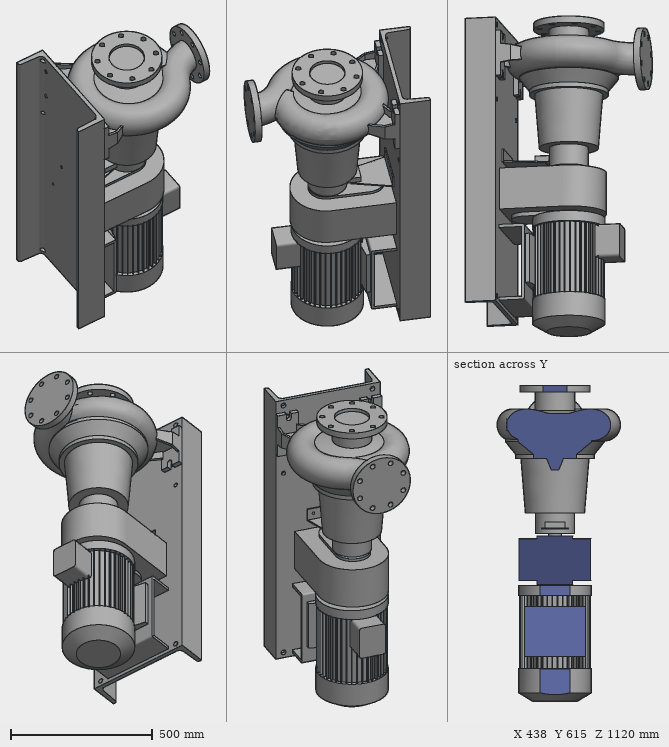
import cadquery as cq
import math

TOP_Z = 1120.0
CHANNEL_BACK_Y = -225.0

CHANNEL_WIDTH = 400.0
CHANNEL_DEPTH = 110.0
CHANNEL_LENGTH = 1030.0
CHANNEL_BOTTOM_Z = 80.0
WEB_THICKNESS = 15.0
FLANGE_ROOT_THICKNESS = 20.0
FLANGE_TIP_THICKNESS = 16.0
FLANGE_ROOT_RADIUS = 18.0
FLANGE_TIP_RADIUS = 9.0
ANCHOR_HOLE_X = 170.0
ANCHOR_HOLE_DIAMETER = 18.0
ANCHOR_HOLE_END_DISTANCE = 21.0
SPARE_HOLE_Z = 818.0
SPARE_HOLE_DIAMETER = 15.0
FOOT_HOLE_DIAMETER = 15.0
SUPPORT_HOLE_X = 56.0
SUPPORT_HOLE_DIAMETER = 10.0
GUARD_HOLE_X = 111.0
GUARD_HOLE_Z = 497.0
GUARD_HOLE_DIAMETER = 8.0

FLANGE_HOLE_COUNT = 8
FLANGE_HOLE_DIAMETER = 18.0
SUCTION_FLANGE_DIAMETER = 250.0
SUCTION_FLANGE_THICKNESS = 24.0
SUCTION_BOLT_RADIUS = 105.0
SUCTION_BORE_DIAMETER = 125.0
SUCTION_BORE_DEPTH = 12.0
DISCHARGE_FLANGE_DIAMETER = 220.0
DISCHARGE_FLANGE_THICKNESS = 25.0
DISCHARGE_BOLT_RADIUS = 90.0
DISCHARGE_FACE_Y = 280.0

VOLUTE_Z = 980.0
VOLUTE_CENTRE_X = 13.0
VOLUTE_BEND_DIAMETER = 324.0
VOLUTE_BEND_RADIUS = VOLUTE_BEND_DIAMETER / 2
TUBE_RADIUS = 57.0
TONGUE_TUBE_RADIUS = 49.0
TONGUE_BEND_RADIUS = 148.0
TONGUE_ANGLE = 75.0
TONGUE_SECTIONS = 5

NECK_RADIUS = 70.0
NECK_BASE_Z = 1030.0
COVER_RADIUS = 146.0
COVER_RIM_Z = 1017.0
BACK_PLATE_RADIUS = 176.0
BACK_PLATE_TOP_Z = 932.0
BACK_PLATE_BOTTOM_Z = 921.0
COLLAR_RADIUS = 140.0
COLLAR_TOP_Z = 876.0
COLLAR_BOTTOM_Z = 860.0
HOUSING_TOP_RADIUS = 121.0
HOUSING_BOTTOM_RADIUS = 105.0
HOUSING_BOTTOM_Z = 668.0
HUB_RADIUS = 70.0
HUB_BOTTOM_Z = 595.0
SHAFT_RADIUS = 24.0

PAD_INNER_X = 120.0
PAD_THICKNESS = 18.0
PAD_HEIGHT = 162.0
PAD_SLOT_X = 157.0
PAD_SLOT_WIDTH = 18.0
PAD_SLOT_OFFSET = 64.0
GUSSET_WALL = 8.0
GUSSET_BASE_HALF_HEIGHT = 36.0
GUSSET_TAPER = 0.16
GUSSET_SHOULDER_Y = -170.0
GUSSET_OUTER_END = (-148.0, -73.0)
GUSSET_INNER_END = (-45.0, -171.0)

BLOCK_HALF_WIDTH = 36.0
BLOCK_FRONT_Y = -115.0
BLOCK_BACK_Y = -65.0
BLOCK_TOP_Z = 636.0
SUPPORT_WIDTH = 159.0
SUPPORT_FRONT_Y = -78.0
SUPPORT_TOP_Z = 615.0
SUPPORT_THICKNESS = 5.0
SUPPORT_UPSTAND_TOP_Z = 657.0

GUARD_RADIUS = 128.0
GUARD_CENTRE_Y = 6.0
GUARD_BOTTOM_Z = 428.0
GUARD_TOP_Z = 577.0
GUARD_BOSS_RADIUS = 64.0
GUARD_BOSS_SPAN = 148.0
GUARD_TOP_BOSS_Z = 587.0
GUARD_BOTTOM_BOSS_Z = 413.0

MOTOR_TOP_Z = 411.0
MOTOR_RADIUS = 129.0
FINS_TOP_Z = 375.0
FINS_BOTTOM_Z = 116.0
FIN_RADIUS = 127.0
FIN_COUNT = 40
FIN_HEIGHT = 11.0
FIN_THICKNESS = 2.0
COWL_CONE_Z = 30.0
COWL_END_RADIUS = 78.0
TERMINAL_BOX_WIDTH = 101.0
TERMINAL_BOX_FACE_Y = 193.0
TERMINAL_BOX_BOTTOM_Z = 254.0
TERMINAL_BOX_TOP_Z = FINS_TOP_Z
TERMINAL_BOX_FILLET = 11.0
MOTOR_FOOT_Y = -133.0
MOTOR_FOOT_EDGE_Y = -119.0
MOTOR_FOOT_TOP_Y = -109.0
MOTOR_FOOT_HALF_WIDTH = 118.0
MOTOR_FOOT_TOP_HALF_WIDTH = 67.0
MOTOR_FOOT_BOTTOM_Z = 159.0
MOTOR_FOOT_TOP_Z = 337.0

BRACKET_WIDTH = 273.0
BRACKET_BOTTOM_Z = 94.0
BRACKET_TOP_Z = 370.0
BRACKET_THICKNESS = 11.0
BRACKET_CORNER_RADIUS = 7.0


def box(x_range, y_range, z_range):
    """A box between two limits along each axis."""
    size = [limits[1] - limits[0] for limits in (x_range, y_range, z_range)]
    corner = (x_range[0], y_range[0], z_range[0])
    return cq.Workplane("XY").box(*size, centered=False).translate(corner)


def cylinder(radius, z_bottom, z_top):
    """An upright cylinder on the pump axis."""
    return cq.Workplane("XY").workplane(offset=z_bottom).circle(radius).extrude(z_top - z_bottom)


def channel_profile():
    """Closed section of the channel, open toward -Y, before its rounding."""
    half_width = CHANNEL_WIDTH / 2
    web_y = CHANNEL_BACK_Y - WEB_THICKNESS
    tip_y = CHANNEL_BACK_Y - CHANNEL_DEPTH
    root_x = half_width - FLANGE_ROOT_THICKNESS
    tip_x = half_width - FLANGE_TIP_THICKNESS
    return (
        cq.Workplane("XY")
        .workplane(offset=CHANNEL_BOTTOM_Z)
        .moveTo(-half_width, CHANNEL_BACK_Y)
        .lineTo(half_width, CHANNEL_BACK_Y)
        .lineTo(half_width, tip_y)
        .lineTo(tip_x, tip_y)
        .lineTo(root_x, web_y)
        .lineTo(-root_x, web_y)
        .lineTo(-tip_x, tip_y)
        .lineTo(-half_width, tip_y)
        .close()
    )


def rounded_channel():
    channel = channel_profile().extrude(CHANNEL_LENGTH)
    root_x = CHANNEL_WIDTH / 2 - FLANGE_ROOT_THICKNESS
    tip_x = CHANNEL_WIDTH / 2 - FLANGE_TIP_THICKNESS
    roundings = (
        (root_x, CHANNEL_BACK_Y - WEB_THICKNESS, FLANGE_ROOT_RADIUS),
        (tip_x, CHANNEL_BACK_Y - CHANNEL_DEPTH, FLANGE_TIP_RADIUS),
    )
    middle_z = CHANNEL_BOTTOM_Z + CHANNEL_LENGTH / 2
    for x, y, radius in roundings:
        for side in (-1, 1):
            corner = cq.selectors.NearestToPointSelector((side * x, y, middle_z))
            channel = channel.edges("|Z").edges(corner).fillet(radius)
    return channel


def make_channel():
    anchor_bottom_z = CHANNEL_BOTTOM_Z + ANCHOR_HOLE_END_DISTANCE
    anchor_top_z = CHANNEL_BOTTOM_Z + CHANNEL_LENGTH - ANCHOR_HOLE_END_DISTANCE
    support_hole_z = (SUPPORT_TOP_Z + SUPPORT_UPSTAND_TOP_Z) / 2
    holes = (
        (ANCHOR_HOLE_X, anchor_bottom_z, ANCHOR_HOLE_DIAMETER),
        (ANCHOR_HOLE_X, anchor_top_z, ANCHOR_HOLE_DIAMETER),
        (ANCHOR_HOLE_X, SPARE_HOLE_Z, SPARE_HOLE_DIAMETER),
        (PAD_SLOT_X, VOLUTE_Z - PAD_SLOT_OFFSET, FOOT_HOLE_DIAMETER),
        (PAD_SLOT_X, VOLUTE_Z + PAD_SLOT_OFFSET, FOOT_HOLE_DIAMETER),
        (SUPPORT_HOLE_X, support_hole_z, SUPPORT_HOLE_DIAMETER),
        (GUARD_HOLE_X, GUARD_HOLE_Z, GUARD_HOLE_DIAMETER),
    )
    channel = rounded_channel()
    for x, z, diameter in holes:
        drills = (
            cq.Workplane("XZ", origin=(0, CHANNEL_BACK_Y, 0))
            .pushPoints([(-x, z), (x, z)])
            .circle(diameter / 2)
            .extrude(CHANNEL_DEPTH)
        )
        channel = channel.cut(drills)
    return channel


def drilled_flange(plane, diameter, thickness, bolt_radius):
    """A round flange with its bolt holes, extruded along the normal of the plane."""
    half_step = 180 / FLANGE_HOLE_COUNT
    holes = (
        plane.polarArray(bolt_radius, half_step, 360, FLANGE_HOLE_COUNT)
        .circle(FLANGE_HOLE_DIAMETER / 2)
        .extrude(thickness)
    )
    return plane.circle(diameter / 2).extrude(thickness).cut(holes)


def suction_flange():
    plane = cq.Workplane("XY").workplane(offset=TOP_Z - SUCTION_FLANGE_THICKNESS)
    return drilled_flange(plane, SUCTION_FLANGE_DIAMETER, SUCTION_FLANGE_THICKNESS, SUCTION_BOLT_RADIUS)


def discharge_flange():
    plane = cq.Workplane("XZ", origin=(0, DISCHARGE_FACE_Y, VOLUTE_Z))
    return drilled_flange(plane, DISCHARGE_FLANGE_DIAMETER, DISCHARGE_FLANGE_THICKNESS, DISCHARGE_BOLT_RADIUS)


def casing():
    """Turned casing: suction neck, cover, back plate, bearing housing, hub and shaft."""
    outline = [
        (0, TOP_Z - SUCTION_FLANGE_THICKNESS),
        (NECK_RADIUS, TOP_Z - SUCTION_FLANGE_THICKNESS),
        (NECK_RADIUS, NECK_BASE_Z),
        (COVER_RADIUS, COVER_RIM_Z),
        (BACK_PLATE_RADIUS, BACK_PLATE_TOP_Z),
        (BACK_PLATE_RADIUS, BACK_PLATE_BOTTOM_Z),
        (COLLAR_RADIUS, COLLAR_TOP_Z),
        (COLLAR_RADIUS, COLLAR_BOTTOM_Z),
        (HOUSING_TOP_RADIUS, COLLAR_BOTTOM_Z),
        (HOUSING_BOTTOM_RADIUS, HOUSING_BOTTOM_Z),
        (HUB_RADIUS, HOUSING_BOTTOM_Z),
        (HUB_RADIUS, HUB_BOTTOM_Z),
        (SHAFT_RADIUS, HUB_BOTTOM_Z),
        (SHAFT_RADIUS, GUARD_TOP_BOSS_Z),
        (0, GUARD_TOP_BOSS_Z),
    ]
    return cq.Workplane("XZ").polyline(outline).close().revolve(360, (0, 0), (0, 1))


def volute_point(angle):
    """Point of the tube centreline at an angle in degrees around the volute centre."""
    turn = math.radians(angle)
    return (VOLUTE_CENTRE_X + VOLUTE_BEND_RADIUS * math.cos(turn), VOLUTE_BEND_RADIUS * math.sin(turn))


def scroll():
    """Constant tube around the -Y half, then an S-bend that ends square on the discharge flange."""
    start_x = VOLUTE_CENTRE_X + VOLUTE_BEND_RADIUS
    bend_angle = 2 * math.degrees(math.atan(start_x / DISCHARGE_FACE_Y))
    exit_bend_radius = DISCHARGE_FACE_Y / math.sin(math.radians(bend_angle)) - VOLUTE_BEND_RADIUS
    half_turn = math.radians(bend_angle / 2)
    exit_middle = (
        exit_bend_radius * (1 - math.cos(half_turn)),
        DISCHARGE_FACE_Y - exit_bend_radius * math.sin(half_turn),
    )
    path = (
        cq.Workplane("XY", origin=(0, 0, VOLUTE_Z))
        .moveTo(*volute_point(180))
        .threePointArc(volute_point(270), volute_point(0))
        .threePointArc(volute_point(bend_angle / 2), volute_point(bend_angle))
        .threePointArc(exit_middle, (0, DISCHARGE_FACE_Y))
    )
    start_on_left = VOLUTE_CENTRE_X - VOLUTE_BEND_RADIUS
    return (
        cq.Workplane("XZ", origin=(start_on_left, 0, VOLUTE_Z))
        .circle(TUBE_RADIUS)
        .sweep(path)
    )


def tongue():
    """Narrowing end of the volute, from the -X side round to below the discharge."""
    start_radius = VOLUTE_BEND_RADIUS - VOLUTE_CENTRE_X
    sections = []
    for step in range(TONGUE_SECTIONS):
        share = step / (TONGUE_SECTIONS - 1)
        turn = math.radians(180 + share * (TONGUE_ANGLE - 180))
        bend_radius = start_radius + share * (TONGUE_BEND_RADIUS - start_radius)
        tube_radius = TUBE_RADIUS + share * (TONGUE_TUBE_RADIUS - TUBE_RADIUS)
        centre = cq.Vector(bend_radius * math.cos(turn), bend_radius * math.sin(turn), VOLUTE_Z)
        direction = cq.Vector(math.sin(turn), -math.cos(turn), 0)
        sections.append(cq.Wire.makeCircle(tube_radius, centre, direction))
    return cq.Workplane(cq.Solid.makeLoft(sections))


def gusset():
    """Walled gusset of the -X foot: a tapered frame around a thin middle rib."""
    outer_x = -CHANNEL_WIDTH / 2
    pad_y = CHANNEL_BACK_Y + PAD_THICKNESS
    base_y = pad_y - GUSSET_WALL
    corners = [
        (outer_x, base_y),
        (outer_x, GUSSET_SHOULDER_Y),
        GUSSET_OUTER_END,
        GUSSET_INNER_END,
        (-PAD_INNER_X, pad_y),
        (-PAD_INNER_X, base_y),
    ]
    middle = cq.Workplane("XY", origin=(0, 0, VOLUTE_Z))
    frame = middle.polyline(corners).close().extrude(GUSSET_BASE_HALF_HEIGHT, both=True)
    pocket = (
        middle.polyline(corners)
        .close()
        .offset2D(-GUSSET_WALL)
        .extrude(GUSSET_BASE_HALF_HEIGHT, both=True)
    )
    rib = middle.polyline(corners).close().extrude(GUSSET_WALL / 2, both=True)
    end_y = GUSSET_OUTER_END[1]
    end_half_height = GUSSET_BASE_HALF_HEIGHT - GUSSET_TAPER * (end_y - base_y)
    taper = (
        cq.Workplane("YZ", origin=(outer_x, 0, VOLUTE_Z))
        .moveTo(base_y, GUSSET_BASE_HALF_HEIGHT)
        .lineTo(end_y, end_half_height)
        .lineTo(end_y, -end_half_height)
        .lineTo(base_y, -GUSSET_BASE_HALF_HEIGHT)
        .close()
        .extrude(CHANNEL_WIDTH / 2)
    )
    return frame.cut(pocket).union(rib).intersect(taper)


def foot():
    """The -X foot: a slotted pad on the channel and its gusset."""
    pad = box(
        (-CHANNEL_WIDTH / 2, -PAD_INNER_X),
        (CHANNEL_BACK_Y, CHANNEL_BACK_Y + PAD_THICKNESS),
        (VOLUTE_Z - PAD_HEIGHT / 2, VOLUTE_Z + PAD_HEIGHT / 2),
    )
    for end in (-1, 1):
        slot = (
            cq.Workplane("XZ", origin=(-PAD_SLOT_X, CHANNEL_BACK_Y, VOLUTE_Z))
            .center(0, end * PAD_HEIGHT / 2)
            .slot2D(PAD_HEIGHT - 2 * PAD_SLOT_OFFSET + PAD_SLOT_WIDTH, PAD_SLOT_WIDTH, 90)
            .extrude(-PAD_THICKNESS)
        )
        pad = pad.cut(slot)
    return pad.union(gusset())


def bearing_support():
    """Block on the hub, with the thin tapering sheet and upstand that tie it to the channel."""
    sheet_bottom_z = SUPPORT_TOP_Z - SUPPORT_THICKNESS
    block = box(
        (-BLOCK_HALF_WIDTH, BLOCK_HALF_WIDTH),
        (BLOCK_FRONT_Y, BLOCK_BACK_Y),
        (SUPPORT_TOP_Z, BLOCK_TOP_Z),
    )
    sheet_corners = [
        (-SUPPORT_WIDTH / 2, CHANNEL_BACK_Y),
        (-BLOCK_HALF_WIDTH, SUPPORT_FRONT_Y),
        (BLOCK_HALF_WIDTH, SUPPORT_FRONT_Y),
        (SUPPORT_WIDTH / 2, CHANNEL_BACK_Y),
    ]
    sheet = (
        cq.Workplane("XY")
        .workplane(offset=sheet_bottom_z)
        .polyline(sheet_corners)
        .close()
        .extrude(SUPPORT_THICKNESS)
    )
    upstand = box(
        (-SUPPORT_WIDTH / 2, SUPPORT_WIDTH / 2),
        (CHANNEL_BACK_Y, CHANNEL_BACK_Y + SUPPORT_THICKNESS),
        (sheet_bottom_z, SUPPORT_UPSTAND_TOP_Z),
    )
    return block.union(sheet).union(upstand)


def make_pump():
    left_foot = foot()
    pump = casing()
    features = (
        scroll(),
        tongue(),
        suction_flange(),
        discharge_flange(),
        left_foot,
        left_foot.mirror("YZ"),
        bearing_support(),
    )
    for feature in features:
        pump = pump.union(feature)
    bore = cylinder(SUCTION_BORE_DIAMETER / 2, TOP_Z - SUCTION_BORE_DEPTH, TOP_Z)
    return pump.cut(bore)


def make_guard():
    case = (
        cq.Workplane("XY")
        .workplane(offset=GUARD_BOTTOM_Z)
        .moveTo(-GUARD_RADIUS, CHANNEL_BACK_Y)
        .lineTo(-GUARD_RADIUS, GUARD_CENTRE_Y)
        .threePointArc((0, GUARD_CENTRE_Y + GUARD_RADIUS), (GUARD_RADIUS, GUARD_CENTRE_Y))
        .lineTo(GUARD_RADIUS, CHANNEL_BACK_Y)
        .close()
        .extrude(GUARD_TOP_Z - GUARD_BOTTOM_Z)
    )
    bosses = (
        cq.Workplane("XY", origin=(0, GUARD_CENTRE_Y - GUARD_BOSS_SPAN / 2, GUARD_BOTTOM_BOSS_Z))
        .slot2D(GUARD_BOSS_SPAN + 2 * GUARD_BOSS_RADIUS, 2 * GUARD_BOSS_RADIUS, 90)
        .extrude(GUARD_TOP_BOSS_Z - GUARD_BOTTOM_BOSS_Z)
    )
    return case.union(bosses)


def finned_barrel():
    """Round barrel with thin, evenly spaced lengthwise cooling fins."""
    barrel_radius = FIN_RADIUS - FIN_HEIGHT
    barrel = cylinder(barrel_radius, FINS_BOTTOM_Z, FINS_TOP_Z)
    fin = box(
        (barrel_radius - FIN_HEIGHT, FIN_RADIUS),
        (-FIN_THICKNESS / 2, FIN_THICKNESS / 2),
        (FINS_BOTTOM_Z, FINS_TOP_Z),
    )
    for index in range(FIN_COUNT):
        angle = (index + 0.5) * 360 / FIN_COUNT
        barrel = barrel.union(fin.rotate((0, 0, 0), (0, 0, 1), angle))
    return barrel


def motor_cowl():
    """Fan cowl at the lower end, closed by a cone."""
    outline = [
        (0, 0),
        (COWL_END_RADIUS, 0),
        (MOTOR_RADIUS, COWL_CONE_Z),
        (MOTOR_RADIUS, FINS_BOTTOM_Z),
        (0, FINS_BOTTOM_Z),
    ]
    return cq.Workplane("XZ").polyline(outline).close().revolve(360, (0, 0), (0, 1))


def terminal_box():
    half_width = TERMINAL_BOX_WIDTH / 2
    return box(
        (-half_width, half_width),
        (0, TERMINAL_BOX_FACE_Y),
        (TERMINAL_BOX_BOTTOM_Z, TERMINAL_BOX_TOP_Z),
    ).edges("|Y").fillet(TERMINAL_BOX_FILLET)


def motor_foot():
    """Foot block with sloping shoulders that runs into the barrel."""
    outline = [
        (-MOTOR_FOOT_HALF_WIDTH, MOTOR_FOOT_Y),
        (-MOTOR_FOOT_HALF_WIDTH, MOTOR_FOOT_EDGE_Y),
        (-MOTOR_FOOT_TOP_HALF_WIDTH, MOTOR_FOOT_TOP_Y),
        (MOTOR_FOOT_TOP_HALF_WIDTH, MOTOR_FOOT_TOP_Y),
        (MOTOR_FOOT_HALF_WIDTH, MOTOR_FOOT_EDGE_Y),
        (MOTOR_FOOT_HALF_WIDTH, MOTOR_FOOT_Y),
    ]
    return (
        cq.Workplane("XY")
        .workplane(offset=MOTOR_FOOT_BOTTOM_Z)
        .polyline(outline)
        .close()
        .extrude(MOTOR_FOOT_TOP_Z - MOTOR_FOOT_BOTTOM_Z)
    )


def make_motor():
    end_flange = cylinder(MOTOR_RADIUS, FINS_TOP_Z, MOTOR_TOP_Z)
    motor = finned_barrel()
    for feature in (motor_cowl(), end_flange, terminal_box(), motor_foot()):
        motor = motor.union(feature)
    return motor


def make_bracket():
    """Bent sheet: a plate under the motor foot and two legs to the channel."""
    half_width = BRACKET_WIDTH / 2
    outside = box(
        (-half_width, half_width),
        (CHANNEL_BACK_Y, MOTOR_FOOT_Y),
        (BRACKET_BOTTOM_Z, BRACKET_TOP_Z),
    ).edges("|X and >Y").fillet(BRACKET_CORNER_RADIUS)
    inside = box(
        (-half_width, half_width),
        (CHANNEL_BACK_Y, MOTOR_FOOT_Y - BRACKET_THICKNESS),
        (BRACKET_BOTTOM_Z + BRACKET_THICKNESS, BRACKET_TOP_Z - BRACKET_THICKNESS),
    )
    return outside.cut(inside)


channel = make_channel()
pump = make_pump()
guard = make_guard()
motor = make_motor()
bracket = make_bracket()

bodies = (channel, pump, guard, motor, bracket)
result = cq.Compound.makeCompound([body.solids().val() for body in bodies])